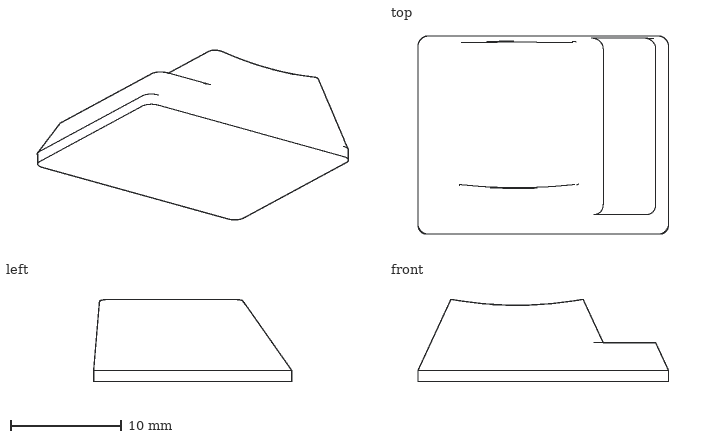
import cadquery as cq

length = 22.75
depth = 18.0
height = 7.49
skirt_height = 1.0
corner_radius = 1.0

key_length = depth
side_inset = 3.0
front_inset = 4.55
back_inset = 0.55

step_height = 3.55
dish_depth = 0.55
rim_radius = 0.1


def skirt(block_length):
    """Upright band with rounded corners, starting at the origin."""
    band = cq.Workplane("XY").box(block_length, depth, skirt_height, centered=False)
    return band.edges("|Z").fillet(corner_radius)


def tapered_block(block_length, top_height):
    """Leaning walls above the skirt, rounded where neighbouring walls meet."""
    rise = (top_height - skirt_height) / (height - skirt_height)
    side = side_inset * rise
    front = front_inset * rise
    back = back_inset * rise
    top_length = block_length - 2 * side
    top_depth = depth - front - back
    block = (
        cq.Workplane("XY", origin=(block_length / 2, depth / 2, skirt_height))
        .rect(block_length, depth)
        .workplane(offset=top_height - skirt_height)
        .center(0, (front - back) / 2)
        .rect(top_length, top_depth)
        .loft(ruled=True)
    )
    return block.edges("not #Z").edges("not |X").edges("not |Y").fillet(corner_radius)


def dish():
    """Cylinder along Y that hollows the top of the raised key."""
    half_chord = key_length / 2 - side_inset
    radius = (half_chord**2 + dish_depth**2) / (2 * dish_depth)
    axis_height = height - dish_depth + radius
    return (
        cq.Workplane("XZ", origin=(key_length / 2, depth, 0))
        .center(0, axis_height)
        .circle(radius)
        .extrude(depth)
    )


low_block = tapered_block(length, step_height)
right_part = cq.Workplane("XY").box(length, depth, height, centered=False)
right_part = right_part.translate((key_length / 2, 0, 0))

raised_key = tapered_block(key_length, height).cut(dish())
raised_key = raised_key.faces(">Z").edges().fillet(rim_radius)
right_block = low_block.intersect(right_part)
result = skirt(length).union(raised_key).union(right_block).clean()